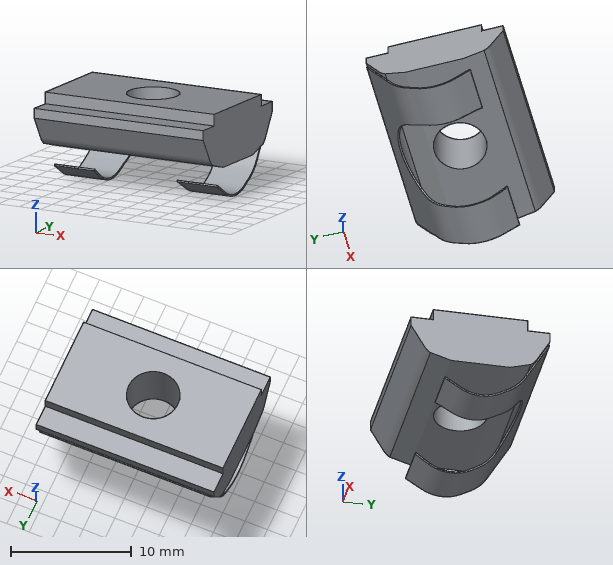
import cadquery as cq
import math

length = 16.0
body_width = 11.75
body_height = 4.83
ridge_width = 8.0
step_depth = 1.0
side_height = 0.83
underside_width = 4.96
wall_angle = 60.0
wall_end_z = 1.07
rounding_end_y = 4.24
rounding_end_z = 0.53
bore_diameter = 4.42

spring_length = 15.4
sheet = 0.15
spring_top_y = 5.9
spring_top_drop = 0.2
upper_bend_radius = 3.84
lower_bend_radius = 3.2
upper_leg = 4.03
middle_leg = 0.91
lower_leg = 1.6
middle_angle = 30.0
lower_angle = -33.0
spring_gap = 8.15
gap_center_z = -2.65

shoulder_z = body_height - step_depth
side_bottom_z = shoulder_z - side_height


def make_body():
    half_width = body_width / 2
    half_ridge = ridge_width / 2
    wall_end_y = half_width - (side_bottom_z - wall_end_z) / math.tan(math.radians(wall_angle))
    half = (
        cq.Workplane("YZ", origin=(-length / 2, 0, 0))
        .moveTo(0, body_height)
        .lineTo(half_ridge, body_height)
        .lineTo(half_ridge, shoulder_z)
        .lineTo(half_width, shoulder_z)
        .lineTo(half_width, side_bottom_z)
        .lineTo(wall_end_y, wall_end_z)
        .tangentArcPoint((rounding_end_y, rounding_end_z), relative=False)
        .lineTo(underside_width / 2, 0)
        .lineTo(0, 0)
        .close()
        .extrude(length)
    )
    body = half.union(half.mirror("XZ"))
    bore = cq.Workplane("XY").circle(bore_diameter / 2).extrude(body_height)
    return body.cut(bore)


def along(point, angle, distance):
    """Move toward -Y down a slope of the given angle."""
    slope = math.radians(angle)
    return (point[0] - distance * math.cos(slope), point[1] - distance * math.sin(slope))


def inward(point, angle, distance):
    """Move square to the slope, from the outer face toward the inner face."""
    return along(point, angle - 90, distance)


def bend_points(start, radius, start_angle, end_angle):
    """Middle and end of a bend on the outer face."""
    center = inward(start, start_angle, radius)
    middle = inward(center, (start_angle + end_angle) / 2, -radius)
    end = inward(center, end_angle, -radius)
    return middle, end


def make_spring():
    top = (spring_top_y, side_bottom_z - spring_top_drop)
    bend_1 = along(top, wall_angle, upper_leg)
    middle_1, end_1 = bend_points(bend_1, upper_bend_radius, wall_angle, middle_angle)
    bend_2 = along(end_1, middle_angle, middle_leg)
    middle_2, end_2 = bend_points(bend_2, lower_bend_radius, middle_angle, lower_angle)
    tip = along(end_2, lower_angle, lower_leg)
    mean_1 = (wall_angle + middle_angle) / 2
    mean_2 = (middle_angle + lower_angle) / 2

    strip = (
        cq.Workplane("YZ", origin=(-spring_length / 2, 0, 0))
        .moveTo(*top)
        .lineTo(*bend_1)
        .threePointArc(middle_1, end_1)
        .lineTo(*bend_2)
        .threePointArc(middle_2, end_2)
        .lineTo(*tip)
        .lineTo(*inward(tip, lower_angle, sheet))
        .lineTo(*inward(end_2, lower_angle, sheet))
        .threePointArc(inward(middle_2, mean_2, sheet), inward(bend_2, middle_angle, sheet))
        .lineTo(*inward(end_1, middle_angle, sheet))
        .threePointArc(inward(middle_1, mean_1, sheet), inward(bend_1, wall_angle, sheet))
        .lineTo(*inward(top, wall_angle, sheet))
        .close()
        .extrude(spring_length)
    )
    round_end = (
        cq.Workplane("XZ", origin=(0, 0, gap_center_z))
        .circle(spring_gap / 2)
        .extrude(body_width / 2, both=True)
    )
    open_end = cq.Workplane("XY", origin=(0, 0, gap_center_z)).box(
        spring_gap, body_width, body_height, centered=(True, True, False)
    ).mirror("XY", (0, 0, gap_center_z))
    return strip.cut(round_end).cut(open_end)


result = make_body().union(make_spring())